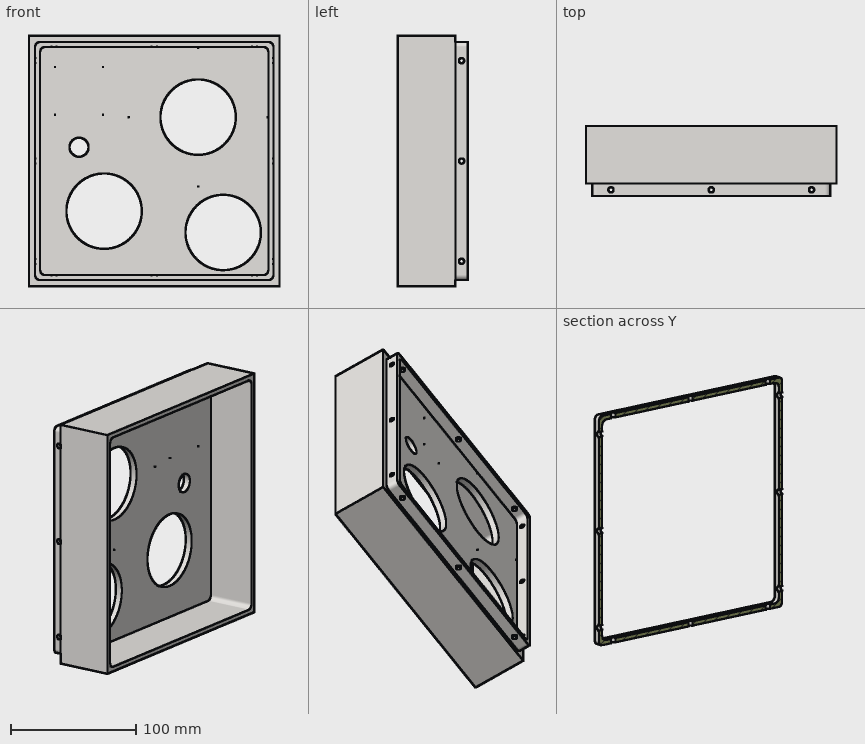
import cadquery as cq

side = 200.0
total_depth = 56.0
body_wall = 4.0
body_corner_radius = 4.0
plate_thickness = 6.0

rim_height = 10.0
rim_side = 190.0
rim_wall = 4.0
rim_corner_radius = 4.0
rim_opening = rim_side - 2 * rim_wall

rim_hole_diameter = 4.0
rim_hole_spacing = 80.0

large_diameter = 60.0
upper_right_centre = (35.0, 35.0)
lower_left_centre = (-40.0, -40.0)
lower_right_centre = (55.0, -57.0)
small_diameter = 15.0
small_centre = (-60.0, 11.0)

pinhole_diameter = 0.2
square_pattern_centre = (-60.0, 56.0)
square_pattern_pitch = 38.2
ring_radius = 55.5

front_y = -total_depth / 2
plate_front_y = front_y + rim_height
plate_back_y = plate_front_y + plate_thickness
back_y = total_depth / 2


def square_block(width, start_y, end_y, corner_radius=0.0):
    """Square block along Y, with optional rounding of its four long edges."""
    block = cq.Workplane("XY").box(width, end_y - start_y, width)
    if corner_radius:
        block = block.edges("|Y").fillet(corner_radius)
    return block.translate((0, (start_y + end_y) / 2, 0))


def plate_holes(centres, diameter):
    """Cutters along Y through the front plate at (x, z) centres."""
    return (
        cq.Workplane("XZ", origin=(0, plate_front_y, 0))
        .pushPoints(centres)
        .circle(diameter / 2)
        .extrude(-plate_thickness)
    )


def rim_holes(plane):
    """Three cutters crossing two opposite rim walls."""
    rim_middle = (0, front_y + rim_height / 2, 0)
    offsets = [-rim_hole_spacing, 0, rim_hole_spacing]
    centres = [(offset, 0) if plane == "XY" else (0, offset) for offset in offsets]
    return (
        cq.Workplane(plane, origin=rim_middle)
        .pushPoints(centres)
        .circle(rim_hole_diameter / 2)
        .extrude(side / 2, both=True)
    )


result = square_block(side, plate_front_y, back_y)
result = result.union(square_block(rim_side, front_y, plate_front_y, rim_corner_radius))
result = result.cut(square_block(rim_opening, front_y, plate_front_y, rim_corner_radius))
rear_cavity_side = side - 2 * body_wall
result = result.cut(square_block(rear_cavity_side, plate_back_y, back_y, body_corner_radius))

for hole_plane in ("XY", "YZ"):
    result = result.cut(rim_holes(hole_plane))

large_centres = [upper_right_centre, lower_left_centre, lower_right_centre]
result = result.cut(plate_holes(large_centres, large_diameter))
result = result.cut(plate_holes([small_centre], small_diameter))

half_pitch = square_pattern_pitch / 2
square_x, square_z = square_pattern_centre
ring_x, ring_z = upper_right_centre
pinhole_centres = []
for sign in (-1, 1):
    pinhole_centres.append((square_x + sign * half_pitch, square_z - half_pitch))
    pinhole_centres.append((square_x + sign * half_pitch, square_z + half_pitch))
    pinhole_centres.append((ring_x + sign * ring_radius, ring_z))
    pinhole_centres.append((ring_x, ring_z + sign * ring_radius))
result = result.cut(plate_holes(pinhole_centres, pinhole_diameter))